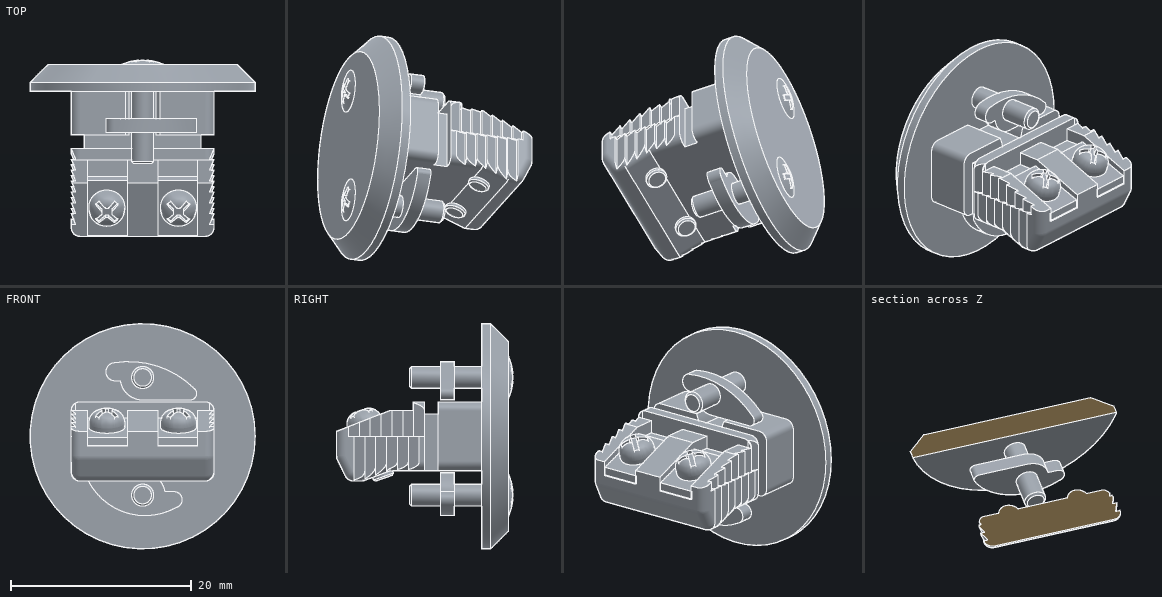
import cadquery as cq
import math


disc_radius = 12.5
disc_thickness = 3.0
disc_rim = 1.0

housing_half_width = 7.92
housing_radius = 1.0
block_half_height = 3.82
block_end = -4.82
neck_half_width = 6.5
neck_top = 2.48
flange_start = -6.32
flange_end = -7.62
body_front = -16.1
body_top = 2.88
slope_start = -10.15
slope_front_z = 0.55
front_bottom_z = -2.45
body_bottom_z = -4.98
belly_front = -14.85
belly_back = -13.15

relief_floor_half_width = 1.5
relief_top_half_width = 1.92
relief_wall_radius = 5.0

tooth_depth = 0.5
upper_teeth = 7
lower_teeth = 6
upper_row_length = 8.45
tooth_pitch = upper_row_length / upper_teeth

terminal_tilt = 19.5
pocket_center_x = 3.9
pocket_width = 4.4
pocket_front_floor_z = -1.18
pocket_rear_floor_z = 1.42
plate_recess = 0.1
plate_front_z = -0.12
plate_rear = -9.9
plate_rear_foot = -9.42
terminal_screw_x = 3.98
terminal_screw_y = -12.82
terminal_head_radius = 2.0
terminal_head_rim = 0.52
terminal_round = 1.45
terminal_slot_depth = 0.85
terminal_slot_width = 0.55
terminal_slot_length = 3.0
terminal_slot_center = 1.1
terminal_shank_radius = 1.18
terminal_shank_length = 6.0
terminal_shank_chamfer = 0.2

screw_offset = 6.52
screw_radius = 1.22
screw_end = -8.02
screw_chamfer = 0.25
screw_head_radius = 2.35
screw_head_height = 0.5
screw_slot_depth = 0.3
screw_slot_width = 0.65
screw_slot_length = 2.75
claw_start = -3.02
claw_thickness = 1.55
claw_hub_radius = 2.5
claw_bump_radius = 1.0
claw_bump_z = 7.15

upper_claw_shape = {
    "bump_x": -3.08,
    "bump_end": (-3.2, 8.15),
    "crest_middle": (1.42, 7.85),
    "tip_end": (5.7, 5.32),
    "tip_x": 5.28,
}
lower_claw_shape = {
    "bump_x": -3.38,
    "bump_end": (-3.72, 7.9),
    "crest_middle": (0.38, 8.78),
    "tip_end": (6.05, 4.9),
    "tip_x": 5.48,
}

overlap = 0.25
tolerance = 0.002


def box_between(x_range, y_range, z_range):
    """Axis-aligned box spanning the given ranges."""
    sizes = [high - low for low, high in (x_range, y_range, z_range)]
    return (
        cq.Workplane("XY")
        .box(*sizes, centered=False)
        .translate((x_range[0], y_range[0], z_range[0]))
    )


def spherical_dome(radius, height):
    """Spherical cap on the XY plane, bulging to +Z."""
    sphere_radius = (radius**2 + height**2) / (2 * height)
    mid_angle = math.asin(radius / sphere_radius) / 2
    center_z = height - sphere_radius
    mid_point = (
        sphere_radius * math.sin(mid_angle),
        center_z + sphere_radius * math.cos(mid_angle),
    )
    return (
        cq.Workplane("XZ")
        .lineTo(radius, 0)
        .threePointArc(mid_point, (0, height))
        .close()
        .revolve(360, (0, 0), (0, 1))
    )


def cross_slot(length, width, bottom_z, height):
    """Diagonal cross cutter rising from bottom_z."""
    cutter = cq.Workplane("XY")
    for angle in (45, 135):
        bar = cq.Workplane("XY").box(length, width, height, centered=(True, True, False))
        cutter = cutter.add(bar.rotate((0, 0, 0), (0, 0, 1), angle))
    return cutter.combine().translate((0, 0, bottom_z))


def make_disc():
    """Round plate whose back edge is beveled at 45 degrees."""
    bevel = disc_thickness - disc_rim
    return (
        cq.Workplane("XZ")
        .circle(disc_radius)
        .extrude(-disc_thickness)
        .faces(">Y")
        .chamfer(bevel)
    )


def make_base():
    """Rounded base block with a screw relief in its top, and the narrower neck."""
    block = box_between(
        (-housing_half_width, housing_half_width),
        (block_end, overlap),
        (-block_half_height, block_half_height),
    ).edges("|Y").fillet(housing_radius)

    relief = (
        cq.Workplane("XZ")
        .moveTo(-relief_floor_half_width, neck_top)
        .lineTo(relief_floor_half_width, neck_top)
        .radiusArc((relief_top_half_width, block_half_height), relief_wall_radius)
        .lineTo(-relief_top_half_width, block_half_height)
        .radiusArc((-relief_floor_half_width, neck_top), relief_wall_radius)
        .close()
        .extrude(-block_end)
    )
    neck = box_between(
        (-neck_half_width, neck_half_width),
        (flange_start - overlap, block_end + overlap),
        (-block_half_height, neck_top),
    )
    return block.cut(relief).union(neck)


def make_body():
    """Flange and wedge-shaped grip, rounded along its sides, front and belly."""
    profile = [
        (flange_start, -block_half_height),
        (flange_start, block_half_height),
        (flange_end, block_half_height),
        (flange_end, body_top),
        (slope_start, body_top),
        (body_front, slope_front_z),
        (body_front, front_bottom_z),
        (belly_front, body_bottom_z),
        (belly_back, body_bottom_z),
        (slope_start, -block_half_height),
    ]
    body = (
        cq.Workplane("YZ")
        .polyline(profile)
        .close()
        .extrude(housing_half_width, both=True)
    )
    for y, z in ((body_front, front_bottom_z), (belly_front, body_bottom_z)):
        body = body.edges(cq.NearestToPointSelector((0, y, z))).fillet(housing_radius)

    def is_rounded(edge):
        """True for side edges on the flange top, the front and the underside."""
        middle = edge.Center()
        on_side = abs(abs(middle.x) - housing_half_width) < tolerance
        on_flange_top = middle.z > block_half_height - tolerance
        on_front = middle.y < belly_front
        on_underside = middle.y < flange_start - tolerance and middle.z < front_bottom_z
        return on_side and (on_flange_top or on_front or on_underside)

    side_edges = [edge for edge in body.edges().vals() if is_rounded(edge)]
    return body.newObject(side_edges).fillet(housing_radius)


def make_tooth_row(start, count, z_range):
    """Triangular notches along both sides, each deepening toward -Y."""
    outer = housing_half_width + overlap
    inner = housing_half_width - tooth_depth
    row = cq.Workplane("XY")
    for index in range(count):
        tooth_start = start - index * tooth_pitch
        tooth_end = tooth_start - tooth_pitch
        for side in (-1, 1):
            notch = (
                cq.Workplane("XY")
                .workplane(offset=z_range[0])
                .polyline([
                    (side * housing_half_width, tooth_start),
                    (side * inner, tooth_end),
                    (side * outer, tooth_end),
                    (side * outer, tooth_start),
                ])
                .close()
                .extrude(z_range[1] - z_range[0])
            )
            row = row.add(notch)
    return row.combine()


def extrude_across(profile, center_x):
    """Extrude a YZ profile over the pocket width."""
    return (
        cq.Workplane("YZ")
        .polyline(profile)
        .close()
        .extrude(pocket_width / 2, both=True)
        .translate((center_x, 0, 0))
    )


def make_pocket(center_x):
    """Terminal pocket, open to the top and the front, stepped below the clamp plate."""
    profile = [
        (flange_end, block_half_height),
        (flange_end, pocket_rear_floor_z),
        (plate_rear, pocket_rear_floor_z),
        (body_front - overlap, pocket_front_floor_z),
        (body_front - overlap, block_half_height),
    ]
    return extrude_across(profile, center_x)


def make_clamp_plate(center_x):
    """Tilted plate filling the pocket floor, beveled at its rear end."""
    slope = math.tan(math.radians(terminal_tilt))
    plate_front = body_front + plate_recess
    rear_z = plate_front_z + (plate_rear - plate_front) * slope
    profile = [
        (plate_front, plate_front_z),
        (plate_rear, rear_z),
        (plate_rear_foot, pocket_rear_floor_z),
        (plate_rear_foot, pocket_rear_floor_z - overlap),
        (plate_rear, pocket_front_floor_z - overlap),
        (plate_front, pocket_front_floor_z - overlap),
    ]
    return extrude_across(profile, center_x)


def make_terminal_screw(center_x):
    """Pan head screw square to the clamp plate, its shank showing under the belly."""
    head_height = terminal_head_rim + terminal_round
    head = (
        cq.Workplane("XY")
        .workplane(offset=-overlap)
        .circle(terminal_head_radius)
        .extrude(overlap + head_height)
        .faces(">Z")
        .edges()
        .fillet(terminal_round)
    )
    slot_floor = head_height - terminal_slot_depth
    slot = cross_slot(terminal_slot_length, terminal_slot_width, slot_floor, head_height)
    center_slot = (
        cq.Workplane("XY")
        .workplane(offset=slot_floor)
        .rect(terminal_slot_center, terminal_slot_center)
        .extrude(head_height)
    )
    shank = (
        cq.Workplane("XY")
        .circle(terminal_shank_radius)
        .extrude(-terminal_shank_length)
        .faces("<Z")
        .chamfer(terminal_shank_chamfer)
    )
    slope = math.tan(math.radians(terminal_tilt))
    seat_z = plate_front_z + (terminal_screw_y - body_front - plate_recess) * slope
    return (
        head.cut(slot)
        .cut(center_slot)
        .union(shank)
        .rotate((0, 0, 0), (1, 0, 0), terminal_tilt)
        .translate((center_x, terminal_screw_y, seat_z))
    )


def make_connector():
    """Housing with serrated sides and two screw terminals."""
    lower_row_start = flange_start - tooth_pitch / 2
    body = (
        make_body()
        .cut(make_tooth_row(flange_start, upper_teeth, (0, block_half_height + overlap)))
        .cut(make_tooth_row(lower_row_start, lower_teeth, (body_bottom_z - overlap, 0)))
    )
    for side in (-1, 1):
        body = body.cut(make_pocket(side * pocket_center_x))
        body = body.union(make_clamp_plate(side * pocket_center_x))
        body = body.union(make_terminal_screw(side * terminal_screw_x))
    return make_base().union(body)


def make_mounting_screw():
    """Mounting screw on the Y axis with a low cross-slotted head behind the disc."""
    shank = (
        cq.Workplane("XZ")
        .circle(screw_radius)
        .extrude(-screw_end)
        .faces("<Y")
        .chamfer(screw_chamfer)
    )
    slot_floor = screw_head_height - screw_slot_depth
    slot = cross_slot(screw_slot_length, screw_slot_width, slot_floor, screw_head_height)
    head = (
        spherical_dome(screw_head_radius, screw_head_height)
        .cut(slot)
        .rotate((0, 0, 0), (1, 0, 0), -90)
        .translate((0, disc_thickness, 0))
    )
    seat = cq.Workplane("XZ").circle(screw_radius).extrude(-disc_thickness)
    return shank.union(seat).union(head)


def make_claw(bump_x, bump_end, crest_middle, tip_end, tip_x):
    """Claw plate around the upper screw: round bump, hub arc, flat edge and curved crest."""
    flat_z = screw_offset - claw_hub_radius
    neck_z = claw_bump_z - claw_bump_radius
    hub_x = -math.sqrt(claw_hub_radius**2 - (screw_offset - neck_z) ** 2)
    hub_middle = claw_hub_radius * math.sqrt(0.5)
    return (
        cq.Workplane("XZ")
        .workplane(offset=-claw_start)
        .moveTo(bump_x, neck_z)
        .lineTo(hub_x, neck_z)
        .threePointArc((-hub_middle, screw_offset - hub_middle), (0, flat_z))
        .lineTo(tip_x, flat_z)
        .tangentArcPoint(tip_end, relative=False)
        .threePointArc(crest_middle, bump_end)
        .threePointArc((bump_x - claw_bump_radius, claw_bump_z), (bump_x, neck_z))
        .close()
        .extrude(claw_thickness)
    )


result = make_disc().union(make_connector())

mounting_screw = make_mounting_screw()
for side in (-1, 1):
    result = result.union(mounting_screw.translate((0, 0, side * screw_offset)))

upper_claw = make_claw(**upper_claw_shape)
lower_claw = make_claw(**lower_claw_shape).rotate((0, 0, 0), (0, 1, 0), 180)
result = result.union(upper_claw).union(lower_claw)